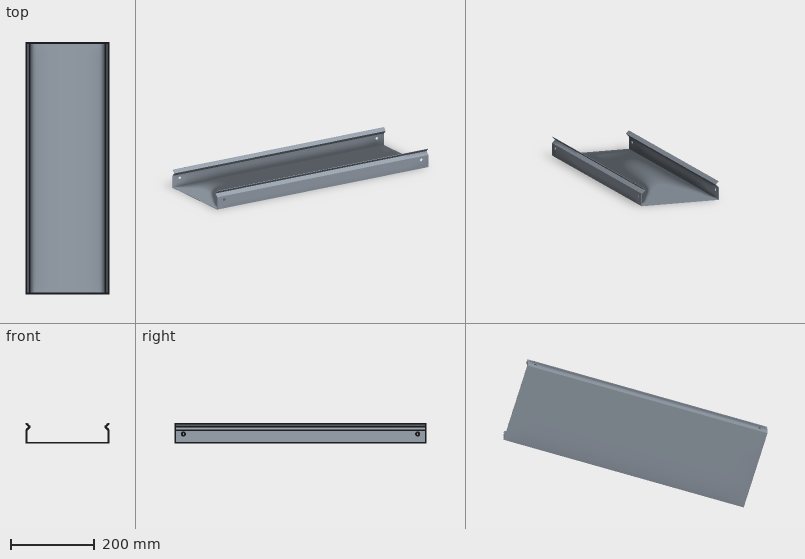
import cadquery as cq
import math

width = 197.74
length = 600.0
height = 46.25

sheet = 1.0
lip_depth = 7.7
tip_inset = 0.65
lip_angle = math.radians(45)

hole_diameter = 7.0
hole_height = 21.4
hole_end_distance = 20.0

half_width = width / 2
lower_flank_rise = lip_depth * math.tan(lip_angle)
upper_flank_rise = (lip_depth - tip_inset) * math.tan(lip_angle)
tip_shift_in = sheet * math.sin(lip_angle)
tip_shift_up = sheet * math.cos(lip_angle)
lip_apex = height - tip_shift_up - upper_flank_rise
wall_top = lip_apex - lower_flank_rise


def right_outer_points():
    """Outer face of the right side, from the bottom corner up to the lip tip."""
    return [
        (half_width, 0),
        (half_width, wall_top),
        (half_width - lip_depth, lip_apex),
        (half_width - tip_inset, lip_apex + upper_flank_rise),
    ]


def right_inner_points():
    """Inner face of the right side, one sheet thickness inside the outer face, from the tip down."""
    wall_bend_drop = sheet * math.tan(lip_angle / 2)
    apex_shift_in = sheet / math.sin(lip_angle)
    return [
        (half_width - tip_inset - tip_shift_in, height),
        (half_width - lip_depth - apex_shift_in, lip_apex),
        (half_width - sheet, wall_top - wall_bend_drop),
        (half_width - sheet, sheet),
    ]


def make_channel():
    """Folded sheet section, mirrored about its centre and extruded along Y."""
    right_side = right_outer_points() + right_inner_points()
    left_side = [(-x, z) for x, z in reversed(right_side)]
    return (
        cq.Workplane("XZ")
        .polyline(right_side + left_side)
        .close()
        .extrude(length / 2, both=True)
    )


def make_wall_holes():
    """Round holes near both ends, each passing through both side walls."""
    hole_y = length / 2 - hole_end_distance
    return (
        cq.Workplane("YZ")
        .pushPoints([(side * hole_y, hole_height) for side in (-1, 1)])
        .circle(hole_diameter / 2)
        .extrude(half_width, both=True)
    )


result = make_channel().cut(make_wall_holes())